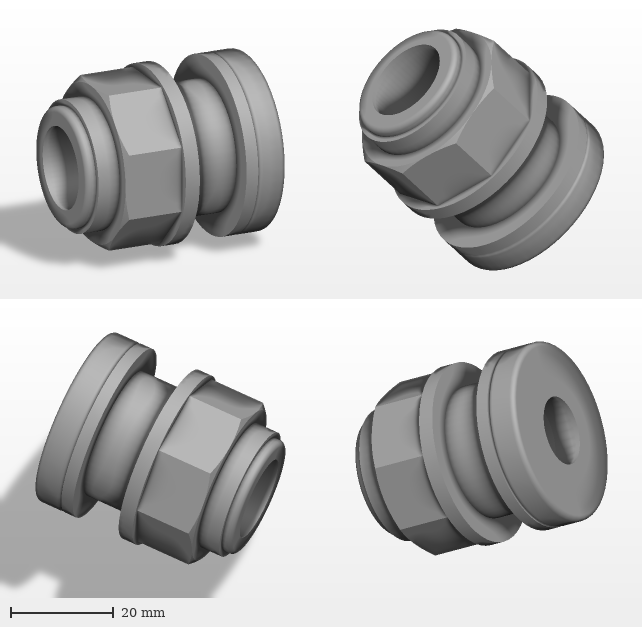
import cadquery as cq
import math

total_length = 40.0
tip_length = 2.0
head_thickness = 6.0
gasket_thickness = 2.5
clamping_gap = 10.0
nut_flange_thickness = 3.0
nut_octagon_length = 12.0

head_start = total_length - head_thickness
gasket_start = head_start - gasket_thickness
nut_end = gasket_start - clamping_gap
nut_flange_start = nut_end - nut_flange_thickness
nut_start = nut_flange_start - nut_octagon_length

flange_diameter = 36.0
shank_diameter = 26.5
tip_diameter = 24.15
bore_diameter = 16.65
seat_diameter = 15.2
outlet_diameter = 13.6
edge_radius = 1.0

taper_length = head_thickness

nut_sides = 8
nut_across_flats = 32.0
nut_across_corners = nut_across_flats / math.cos(math.pi / nut_sides)
nut_chamfer_length = 0.8


def cylinder(diameter, start, end):
    """Solid cylinder on the Y axis between two stations."""
    plane = cq.Workplane("XZ", origin=(0, start, 0))
    return plane.circle(diameter / 2).extrude(start - end)


def cone(start_diameter, end_diameter, start, end):
    """Solid cone frustum on the Y axis between two stations."""
    outline = [
        (0, start),
        (start_diameter / 2, start),
        (end_diameter / 2, end),
        (0, end),
    ]
    return cq.Workplane("XY").polyline(outline).close().revolve(360, (0, 0), (0, 1))


def make_fitting():
    """Headed tube with a rounded head, a rounded tip and a tapered outlet."""
    head = cylinder(flange_diameter, head_start, total_length).edges().fillet(edge_radius)
    shank = cylinder(shank_diameter, tip_length, head_start + edge_radius)
    tip = cylinder(tip_diameter, 0, tip_length).faces("<Y").edges().fillet(edge_radius)
    taper_start = total_length - taper_length
    bore = cylinder(bore_diameter, 0, taper_start)
    outlet = cone(seat_diameter, outlet_diameter, taper_start, total_length)
    return head.union(shank).union(tip).cut(bore).cut(outlet)


def make_gasket():
    """Flat sealing ring under the head."""
    ring = cylinder(flange_diameter, gasket_start, head_start)
    return ring.cut(cylinder(shank_diameter, gasket_start, head_start))


def make_nut():
    """Flanged octagonal nut with its free corners chamfered."""
    octagon = (
        cq.Workplane("XZ", origin=(0, nut_start, 0))
        .transformed(rotate=(0, 0, 180 / nut_sides))
        .polygon(nut_sides, nut_across_corners)
        .extrude(-nut_octagon_length)
    )
    chamfer_end = nut_start + nut_chamfer_length
    envelope = cone(nut_across_flats, nut_across_corners, nut_start, chamfer_end)
    envelope = envelope.union(cylinder(nut_across_corners, chamfer_end, nut_flange_start))
    flange = cylinder(flange_diameter, nut_flange_start, nut_end)
    nut = octagon.intersect(envelope).union(flange)
    return nut.cut(cylinder(shank_diameter, nut_start, nut_end))


fitting = make_fitting()
gasket = make_gasket()
nut = make_nut()

result = cq.Compound.makeCompound([fitting.val(), gasket.val(), nut.val()])